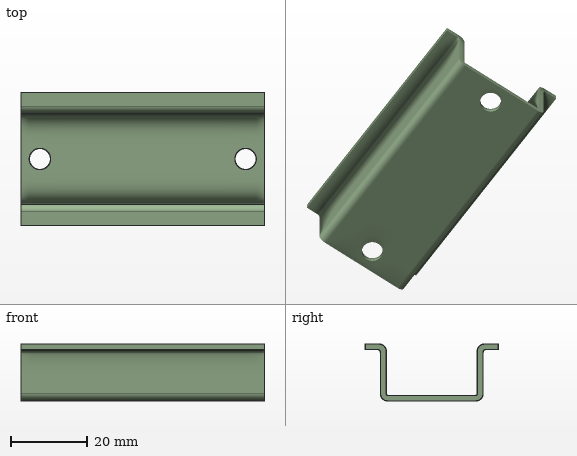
import cadquery as cq

length = 64.0
width = 35.0
height = 15.0

thickness = 1.5
wall_thickness = 1.6
channel_width = 27.0
outer_bend_radius = 1.9
floor_inner_radius = 0.45
flange_inner_radius = 0.8

hole_diameter = 5.5
hole_spacing = 53.95

half_width = width / 2
wall_outside = channel_width / 2
wall_inside = wall_outside - wall_thickness
flange_underside = height - thickness

half_section = [
    (0, 0),
    (wall_outside, 0),
    (wall_outside, flange_underside),
    (half_width, flange_underside),
    (half_width, height),
    (wall_inside, height),
    (wall_inside, thickness),
    (0, thickness),
]


def round_bend(body, y, z, radius):
    """Round the lengthwise edge at (y, z)."""
    edge = body.edges("|X").edges(cq.NearestToPointSelector((0, y, z)))
    return edge.fillet(radius)


half_rail = cq.Workplane("YZ").polyline(half_section).close().extrude(length / 2, both=True)
half_rail = round_bend(half_rail, wall_outside, 0, outer_bend_radius)
half_rail = round_bend(half_rail, wall_inside, thickness, floor_inner_radius)
half_rail = round_bend(half_rail, wall_inside, height, outer_bend_radius)
half_rail = round_bend(half_rail, wall_outside, flange_underside, flange_inner_radius)

rail = half_rail.union(half_rail.mirror("XZ")).clean()

holes = (
    cq.Workplane("XY")
    .pushPoints([(-hole_spacing / 2, 0), (hole_spacing / 2, 0)])
    .circle(hole_diameter / 2)
    .extrude(thickness)
)
result = rail.cut(holes)